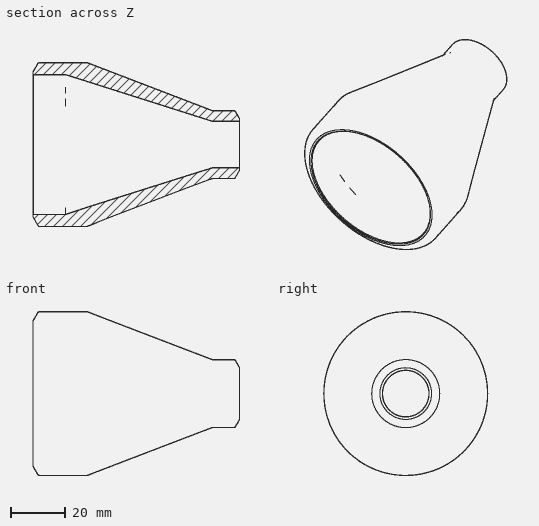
import cadquery as cq
import math

length = 76.0
large_diameter = 60.3
large_bore = 51.3
large_collar = 20.0
small_diameter = 25.0
small_bore = 17.0
small_collar = 10.0

bore_cone_start = 12.1
mouth_chamfer = 0.3

root_face = 1.0
bevel_angle = 30.0
corner_radius = 0.8

large_radius = large_diameter / 2
small_radius = small_diameter / 2
cone_start = large_collar
cone_end = length - small_collar


def bevel_depth(outer_radius, bore_radius):
    """Axial length of the bevel from the root face to the outer wall."""
    bevel_height = outer_radius - bore_radius - root_face
    return bevel_height * math.tan(math.radians(bevel_angle))


def solid_of_revolution(profile):
    """Revolve (x, radius) points, closed along the X axis."""
    return cq.Workplane("XY").polyline(profile).close().revolve(360, (0, 0, 0), (1, 0, 0))


def outer_body():
    large_root = large_bore / 2 + root_face
    small_root = small_bore / 2 + root_face
    large_bevel = bevel_depth(large_radius, large_bore / 2)
    small_bevel = bevel_depth(small_radius, small_bore / 2)
    body = solid_of_revolution([
        (0, 0),
        (0, large_root),
        (large_bevel, large_radius),
        (cone_start, large_radius),
        (cone_end, small_radius),
        (length - small_bevel, small_radius),
        (length, small_root),
        (length, 0),
    ])
    inner_circles = cq.selectors.BoxSelector(
        (large_bevel / 2, -length, -length),
        (length - small_bevel / 2, length, length),
    )
    return body.edges("%CIRCLE").edges(inner_circles).fillet(corner_radius)


def bore():
    """Passage: chamfered mouth, straight stretch, cone, then the small straight bore."""
    return solid_of_revolution([
        (0, 0),
        (0, large_bore / 2 + mouth_chamfer),
        (mouth_chamfer, large_bore / 2),
        (bore_cone_start, large_bore / 2),
        (cone_end, small_bore / 2),
        (length, small_bore / 2),
        (length, 0),
    ])


result = outer_body().cut(bore())